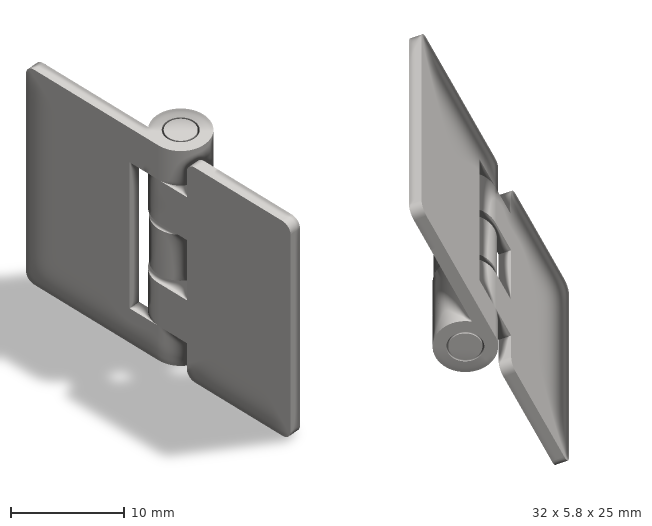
import cadquery as cq

width = 32.0
height = 25.0
barrel_diameter = 5.8
thickness = 1.2
corner_radius = 1.0
leaf_clearance = 3.45
end_knuckle_height = 4.0
inner_knuckle_height = 5.0
pin_diameter = 3.0
sleeve_diameter = 5.6
sleeve_height = 5.35

barrel_radius = barrel_diameter / 2
bore_diameter = barrel_diameter - 2 * thickness
half_width = width / 2
half_height = height / 2
inner_knuckle_top = half_height - end_knuckle_height
inner_knuckle_bottom = inner_knuckle_top - inner_knuckle_height


def box(x_min, x_max, y_min, y_max, z_min, z_max):
    """Box between the given limits."""
    return (
        cq.Workplane("XY")
        .box(x_max - x_min, y_max - y_min, z_max - z_min, centered=False)
        .translate((x_min, y_min, z_min))
    )


def plate(x_min, x_max, z_min, z_max):
    """Flat sheet tangent to the -Y side of the barrel."""
    return box(x_min, x_max, -barrel_radius, thickness - barrel_radius, z_min, z_max)


def cylinder(diameter, z_min, z_max):
    """Cylinder about the hinge axis."""
    return cq.Workplane("XY").workplane(offset=z_min).circle(diameter / 2).extrude(z_max - z_min)


def tube(diameter, z_min, z_max):
    """Cylinder about the hinge axis with the clearance bore through it."""
    return cylinder(diameter, z_min, z_max).cut(cylinder(bore_diameter, z_min, z_max))


def make_outer_leaf():
    """Leaf on the -X side, rolled into knuckles at both ends of the pin."""
    leaf = plate(-half_width, -leaf_clearance, -half_height, half_height)
    leaf = leaf.edges("|Y and <X").fillet(corner_radius)
    for z_min in (-half_height, inner_knuckle_top):
        z_max = z_min + end_knuckle_height
        leaf = leaf.union(plate(-leaf_clearance, 0, z_min, z_max))
        leaf = leaf.union(tube(barrel_diameter, z_min, z_max))
    return leaf


def make_inner_leaf():
    """Leaf on the +X side, with two knuckles between those of the outer leaf."""
    leaf = plate(leaf_clearance, half_width, -half_height, half_height)
    leaf = leaf.edges("|Y").fillet(corner_radius)
    for z_min in (-inner_knuckle_top, inner_knuckle_bottom):
        z_max = z_min + inner_knuckle_height
        leaf = leaf.union(plate(0, leaf_clearance, z_min, z_max))
        leaf = leaf.union(tube(barrel_diameter, z_min, z_max))
    return leaf


outer_leaf = make_outer_leaf()
inner_leaf = make_inner_leaf()
pin = cylinder(pin_diameter, -half_height, half_height)
sleeve = tube(sleeve_diameter, -sleeve_height / 2, sleeve_height / 2)

bodies = [outer_leaf, inner_leaf, pin, sleeve]
result = cq.Compound.makeCompound([body.solids().val() for body in bodies])